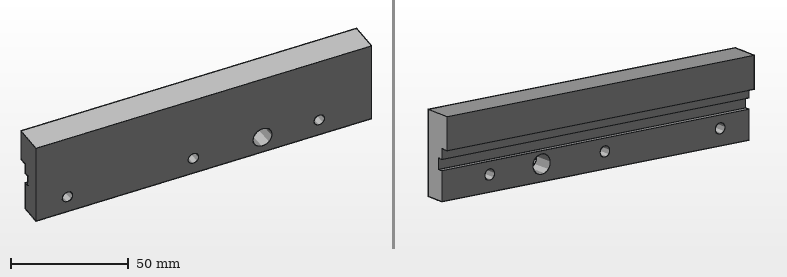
import cadquery as cq

length = 160.0
thickness = 14.0
height = 38.5

head_height = 15.0
face_recess = 4.0
groove_depth = 2.4
groove_height = 5.0
groove_bottom = 13.8

hole_height = 7.8
small_diameter = 5.0
small_hole_offsets = [25.0, 85.0, 145.0]
large_diameter = 9.0
large_hole_offset = 52.0


def stepped_bar():
    """Extrude the stepped profile, centred on Y."""
    head_bottom = height - head_height
    groove_top = groove_bottom + groove_height
    groove_floor = face_recess + groove_depth
    profile = [
        (face_recess, 0),
        (thickness, 0),
        (thickness, height),
        (0, height),
        (0, head_bottom),
        (face_recess, head_bottom),
        (face_recess, groove_top),
        (groove_floor, groove_top),
        (groove_floor, groove_bottom),
        (face_recess, groove_bottom),
    ]
    return cq.Workplane("XZ").polyline(profile).close().extrude(length / 2, both=True)


def cross_hole(offset, diameter):
    """Cylinder along X that cuts through the full thickness."""
    return (
        cq.Workplane("YZ")
        .center(length / 2 - offset, hole_height)
        .circle(diameter / 2)
        .extrude(thickness)
    )


result = stepped_bar().cut(cross_hole(large_hole_offset, large_diameter))
for small_offset in small_hole_offsets:
    result = result.cut(cross_hole(small_offset, small_diameter))